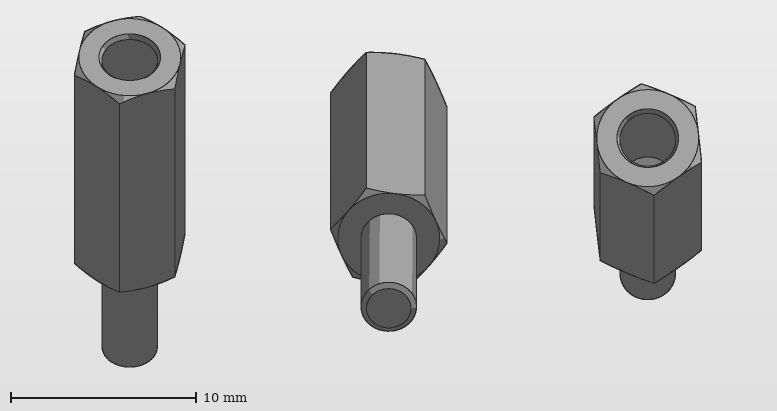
import cadquery as cq
import math

HEX_SIDES = 6
HEX_ACROSS_FLATS = 5.508
HEX_LENGTH = 16.0
HEX_FACE_DIAMETER = 5.5
HEX_CHAMFER_ANGLE = 30.0

THREAD_DIAMETER = 3.0
STUD_LENGTH = 8.0
STUD_CHAMFER_WIDTH = 0.3
STUD_CHAMFER_ANGLE = 30.0

HOLE_DEPTH = 8.0
HOLE_CHAMFER_WIDTH = 0.16
HOLE_CHAMFER_ANGLE = 60.0
DRILL_POINT_ANGLE = 120.0


def cone_height(width, slope_angle):
    """Axial height of a cone of the given radial width and slope in degrees."""
    return width * math.tan(math.radians(slope_angle))


HEX_ACROSS_CORNERS = HEX_ACROSS_FLATS / math.cos(math.pi / HEX_SIDES)
CORNER_RADIUS = HEX_ACROSS_CORNERS / 2
FACE_RADIUS = HEX_FACE_DIAMETER / 2
CORNER_DROP = cone_height(CORNER_RADIUS - FACE_RADIUS, HEX_CHAMFER_ANGLE)
THREAD_RADIUS = THREAD_DIAMETER / 2
STUD_CHAMFER_HEIGHT = cone_height(STUD_CHAMFER_WIDTH, STUD_CHAMFER_ANGLE)
HOLE_CHAMFER_HEIGHT = cone_height(HOLE_CHAMFER_WIDTH, HOLE_CHAMFER_ANGLE)
DRILL_POINT_DEPTH = cone_height(THREAD_RADIUS, 90 - DRILL_POINT_ANGLE / 2)


def revolve_about_z(profile):
    """Turn a closed (radius, height) outline around the Z axis."""
    return cq.Workplane("XZ").polyline(profile).close().revolve(360, (0, 0, 0), (0, 1, 0))


def hex_body():
    """Hexagonal prism with its corners turned down to a cone at both ends."""
    prism = cq.Workplane("XY").polygon(HEX_SIDES, HEX_ACROSS_CORNERS).extrude(HEX_LENGTH)
    turned_envelope = revolve_about_z([
        (0, 0),
        (FACE_RADIUS, 0),
        (CORNER_RADIUS, CORNER_DROP),
        (CORNER_RADIUS, HEX_LENGTH - CORNER_DROP),
        (FACE_RADIUS, HEX_LENGTH),
        (0, HEX_LENGTH),
    ])
    return prism.intersect(turned_envelope)


def stud():
    """Round stud below the hexagon with a chamfered tip."""
    return revolve_about_z([
        (0, 0),
        (THREAD_RADIUS, 0),
        (THREAD_RADIUS, STUD_CHAMFER_HEIGHT - STUD_LENGTH),
        (THREAD_RADIUS - STUD_CHAMFER_WIDTH, -STUD_LENGTH),
        (0, -STUD_LENGTH),
    ])


def blind_hole():
    """Drilled hole from the top face, with a chamfered mouth and a conical bottom."""
    hole_bottom = HEX_LENGTH - HOLE_DEPTH
    return revolve_about_z([
        (0, HEX_LENGTH),
        (THREAD_RADIUS + HOLE_CHAMFER_WIDTH, HEX_LENGTH),
        (THREAD_RADIUS, HEX_LENGTH - HOLE_CHAMFER_HEIGHT),
        (THREAD_RADIUS, hole_bottom),
        (0, hole_bottom - DRILL_POINT_DEPTH),
    ])


result = hex_body().union(stud()).cut(blind_hole())